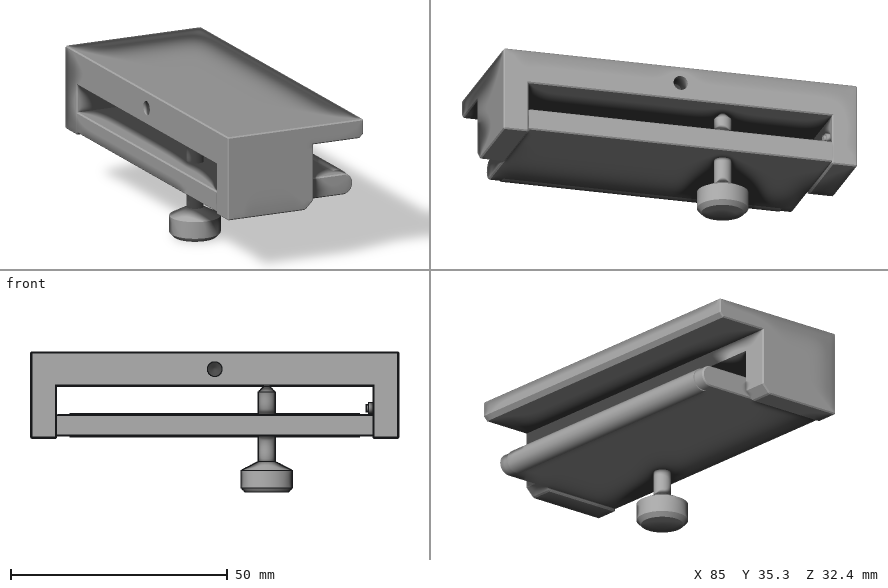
import cadquery as cq

length = 85.0
body_height = 20.0
body_depth = 34.9
edge_chamfer = 0.3

plate_thickness = 4.5
plate_tip_chamfer = 1.0
leg_width = 6.0
leg_depth = 22.0
leg_tip_chamfer = 2.0
block_thickness = 8.0
gap_width = length - 2 * leg_width
gap_height = body_height - block_thickness

hole_radius = 1.7
hole_z = body_height - block_thickness / 2
hole_depth = 5.1
hole_point_depth = 1.0

bar_bottom = 0.5
bar_thickness = 5.0
bar_mid_z = bar_bottom + bar_thickness / 2
rod_radius = 2.7
rod_length = 66.8
rod_back_y = 35.3
rod_y = rod_back_y - rod_radius
bar_end_y = rod_y + bar_thickness / 2

screw_x = 12.0
screw_y = 6.55
shank_diameter = 4.0
shank_radius = shank_diameter / 2
tip_radius = 0.7
tip_height = shank_radius - tip_radius
head_bottom = -12.4
head_radius = 5.95
head_chamfer = 1.0
head_rim_height = 4.0
head_cone_height = 2.0

pin_y = 2.7
pin_z = 7.0
pin_collar_radius = 1.4
pin_collar_length = 1.0
pin_tip_radius = 0.85
pin_tip_length = 0.5


def make_body():
    profile = [
        (0, 0),
        (leg_depth - leg_tip_chamfer, 0),
        (leg_depth, leg_tip_chamfer),
        (leg_depth, body_height - plate_thickness),
        (body_depth - plate_tip_chamfer, body_height - plate_thickness),
        (body_depth, body_height - plate_thickness + plate_tip_chamfer),
        (body_depth, body_height),
        (0, body_height),
    ]
    body = cq.Workplane("YZ").polyline(profile).close().extrude(length / 2, both=True)
    gap = cq.Workplane("XY").box(gap_width, leg_depth, gap_height, centered=(True, False, False))
    body = body.cut(gap)
    return body.faces("<X or >X or <Y or >Z or <Z").edges().chamfer(edge_chamfer)


def make_hole():
    profile = [(0, 0), (hole_radius, 0), (hole_radius, hole_depth), (0, hole_depth + hole_point_depth)]
    hole = cq.Workplane("XY").polyline(profile).close().revolve(360, (0, 0), (0, 1))
    return hole.translate((0, 0, hole_z))


def make_bar():
    bar = (
        cq.Workplane("YZ")
        .moveTo(0, bar_bottom)
        .lineTo(rod_y, bar_bottom)
        .threePointArc((bar_end_y, bar_mid_z), (rod_y, bar_bottom + bar_thickness))
        .lineTo(0, bar_bottom + bar_thickness)
        .close()
        .extrude(gap_width / 2, both=True)
        .faces("<X or >X or <Y").edges("not |Z").chamfer(edge_chamfer)
    )
    rod = cq.Workplane("YZ").center(rod_y, bar_mid_z).circle(rod_radius).extrude(rod_length / 2, both=True)
    return bar.union(rod)


def make_screw():
    rim_bottom = head_bottom + head_chamfer
    rim_top = rim_bottom + head_rim_height
    profile = [
        (0, head_bottom),
        (head_radius - head_chamfer, head_bottom),
        (head_radius, rim_bottom),
        (head_radius, rim_top),
        (shank_radius, rim_top + head_cone_height),
        (shank_radius, gap_height - tip_height),
        (tip_radius, gap_height),
        (0, gap_height),
    ]
    screw = cq.Workplane("XZ").polyline(profile).close().revolve(360, (0, 0), (0, 1))
    return screw.translate((screw_x, screw_y, 0))


def make_pin():
    return (
        cq.Workplane("YZ", origin=(gap_width / 2, pin_y, pin_z))
        .circle(pin_collar_radius).extrude(-pin_collar_length)
        .faces("<X").workplane()
        .circle(pin_tip_radius).extrude(pin_tip_length)
    )


result = make_body().cut(make_hole()).union(make_bar()).union(make_screw()).union(make_pin())